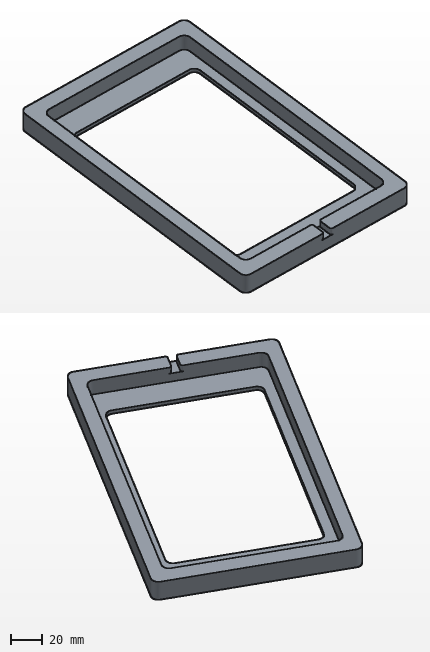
import cadquery as cq

length = 220.0
width = 140.0
height = 15.0
corner_radius = 5.0

pocket_length = 197.0
pocket_width = 120.0
floor_thickness = 3.0

window_length = 160.0
window_width = 105.0

slot_width = 6.0
slot_depth = 5.0
slot_floor_height = height - slot_depth
slot_corner_radius = 1.5


def rounded_block(size_x, size_y, bottom, top):
    """Centred block with rounded vertical edges between two heights."""
    return (
        cq.Workplane("XY")
        .workplane(offset=bottom)
        .rect(size_x, size_y)
        .extrude(top - bottom)
        .edges("|Z")
        .fillet(corner_radius)
    )


def cable_slot():
    """Straight slot from the pocket out through the +X wall."""
    return (
        cq.Workplane("XY")
        .workplane(offset=slot_floor_height)
        .center(length / 4, 0)
        .rect(length / 2, slot_width)
        .extrude(slot_depth)
    )


frame = rounded_block(length, width, 0, height)
pocket = rounded_block(pocket_length, pocket_width, floor_thickness, height)
window = rounded_block(window_length, window_width, 0, floor_thickness)

result = frame.cut(pocket).cut(window).cut(cable_slot())

slot_corner_edges = cq.selectors.BoxSelector(
    (pocket_length / 2 - slot_corner_radius, -slot_width, slot_floor_height),
    (length / 2 + slot_corner_radius, slot_width, height),
)
result = result.edges("|Z").edges(slot_corner_edges).fillet(slot_corner_radius)